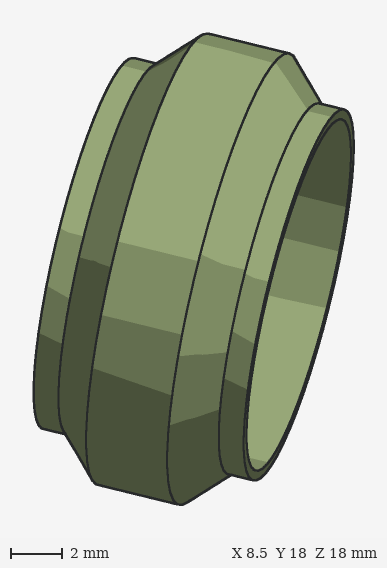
import cadquery as cq

outer_diameter = 18.0
collar_diameter = 14.8
bore_diameter = 14.0
total_width = 8.5
collar_width = 1.0

outer_radius = outer_diameter / 2
collar_radius = collar_diameter / 2
bore_radius = bore_diameter / 2

flank_width = outer_radius - collar_radius
half_width = total_width / 2
shoulder_x = half_width - collar_width
crown_x = shoulder_x - flank_width

section = (
    cq.Workplane("XY")
    .moveTo(-half_width, bore_radius)
    .lineTo(-half_width, collar_radius)
    .lineTo(-shoulder_x, collar_radius)
    .lineTo(-crown_x, outer_radius)
    .lineTo(crown_x, outer_radius)
    .lineTo(shoulder_x, collar_radius)
    .lineTo(half_width, collar_radius)
    .lineTo(half_width, bore_radius)
    .close()
)

result = section.revolve(360, (0, 0, 0), (1, 0, 0))